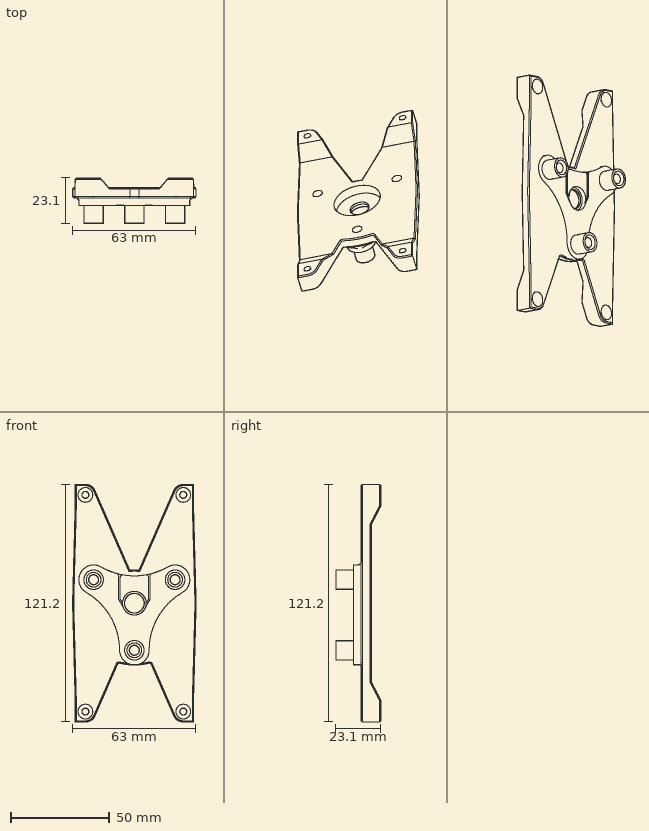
import cadquery as cq
import math


HEIGHT = 121.2
TOP_Z = HEIGHT / 2
HALF_WIDTH = 31.5
FOOT_HALF_WIDTH = 30.2
MID_FLAT = 1.0
BASE_THICKNESS = 5.2
EDGE_CHAMFER = 0.6

FOOT_THICKNESS = 10.1
FOOT_LENGTH = 10.9
RAMP_LENGTH = 9.5
FOOT_Z = TOP_Z - FOOT_LENGTH
RAMP_Z = FOOT_Z - RAMP_LENGTH
FOOT_SIDE_LENGTH = 10.5
FOOT_SIDE_Z = TOP_Z - FOOT_SIDE_LENGTH
FOOT_HOLE_X = 25.0
FOOT_HOLE_Z = 55.3
FOOT_HOLE_DIAMETER = 3.4
FOOT_BORE_DIAMETER = 7.5
FOOT_BORE_DEPTH = 7.5
ARM_END_RADIUS = TOP_Z - FOOT_HOLE_Z

NOTCH_ANGLE = math.radians(23.6)
UPPER_HUB_RADIUS = 17.0
LOWER_HUB_RADIUS = HALF_WIDTH
NOTCH_CORNER_RADIUS = 1.0

PAD_THICKNESS = 4.0
PAD_FILLET = 2.0
BOSS_CIRCLE_RADIUS = 24.0
LOBE_RADIUS = HALF_WIDTH - BOSS_CIRCLE_RADIUS
WAIST_CENTER = 2 * BOSS_CIRCLE_RADIUS
WAIST_RADIUS = BOSS_CIRCLE_RADIUS * math.sqrt(3) - LOBE_RADIUS

BOSS_ANGLES = (30, 150, 270)
BOSS_DIAMETER = 10.0
BOSS_HEIGHT = 9.0
BOSS_HOLE_DIAMETER = 5.0
COUNTERSINK_DIAMETER = 7.5

CENTER_HOLE_DIAMETER = 10.0
CENTER_BORE_DIAMETER = 12.1
CENTER_BORE_DEPTH = 2.7
BACK_RELIEF_DIAMETER = 24.2

GROOVE_INNER_X = 7.3
GROOVE_WIDTH = 0.7
GROOVE_DEPTH = 0.42
GROOVE_BEND_Z = 2.0
GROOVE_BEND_ANGLE = math.radians(30)
GROOVE_MOUTH_RADIUS = 1.5

PAD_FRONT = -PAD_THICKNESS
BOSS_FRONT = PAD_FRONT - BOSS_HEIGHT
TOTAL_DEPTH = FOOT_THICKNESS - BOSS_FRONT
MARGIN = 0.1


def polar(radius, degrees, center=(0, 0)):
    """Point at the given radius and angle around a centre in the X-Z plane."""
    angle = math.radians(degrees)
    return center[0] + radius * math.cos(angle), center[1] + radius * math.sin(angle)


AXIS = [(0, 0)]
BOSS_CENTERS = [polar(BOSS_CIRCLE_RADIUS, angle) for angle in BOSS_ANGLES]
FOOT_CENTERS = [(x, z) for x in (-FOOT_HOLE_X, FOOT_HOLE_X) for z in (-FOOT_HOLE_Z, FOOT_HOLE_Z)]


def sketch_at(y):
    """Sketch plane facing -Y at the given Y, with X and Z as its local axes."""
    return cq.Workplane("XZ", origin=(0, y, 0))


def box(half_x, y_range, z_range):
    """Selector for edges inside a box that is symmetric in X."""
    return cq.selectors.BoxSelector(
        (-half_x, y_range[0] - MARGIN, z_range[0] - MARGIN),
        (half_x, y_range[1] + MARGIN, z_range[1] + MARGIN),
    )


def drill(y, centers, diameter, depth):
    """Round cutters that start at the given Y and run toward the back."""
    return sketch_at(y).pushPoints(centers).circle(diameter / 2).extrude(-depth)


def notch(side, hub_radius):
    """Wedge between two arms, ending on a round hub; side is +1 for the top, -1 for the bottom."""
    slope = math.tan(NOTCH_ANGLE)
    flank_x = FOOT_HOLE_X - ARM_END_RADIUS / math.cos(NOTCH_ANGLE)
    apex_z = FOOT_HOLE_Z - flank_x / slope
    mouth_x = (HEIGHT - apex_z) * slope
    wedge = (
        sketch_at(FOOT_THICKNESS)
        .polyline([(0, side * apex_z), (mouth_x, side * HEIGHT), (-mouth_x, side * HEIGHT)])
        .close()
        .extrude(FOOT_THICKNESS)
    )
    return wedge.cut(sketch_at(FOOT_THICKNESS).circle(hub_radius).extrude(FOOT_THICKNESS))


def make_silhouette():
    """X-shaped outline at full foot thickness, with rounded arm ends and lower notch corners."""
    right_side = [
        (FOOT_HALF_WIDTH, -TOP_Z),
        (FOOT_HALF_WIDTH, -FOOT_SIDE_Z),
        (HALF_WIDTH, -MID_FLAT),
        (HALF_WIDTH, MID_FLAT),
        (FOOT_HALF_WIDTH, FOOT_SIDE_Z),
        (FOOT_HALF_WIDTH, TOP_Z),
    ]
    left_side = [(-x, z) for x, z in reversed(right_side)]
    body = sketch_at(FOOT_THICKNESS).polyline(right_side + left_side).close().extrude(FOOT_THICKNESS)
    body = body.cut(notch(1, UPPER_HUB_RADIUS)).cut(notch(-1, LOWER_HUB_RADIUS))

    depth_range = (0, FOOT_THICKNESS)
    arm_ends = box(FOOT_HOLE_X, depth_range, (-TOP_Z, TOP_Z))
    for end in (">Z", "<Z"):
        body = body.faces(end).edges("|Y").edges(arm_ends).fillet(ARM_END_RADIUS)
    notch_corners = box(HALF_WIDTH / 2, depth_range, (-LOWER_HUB_RADIUS, 0))
    return body.edges("|Y").edges(notch_corners).fillet(NOTCH_CORNER_RADIUS)


def make_base(silhouette):
    """Base plate with feet: the back is recessed between the feet and ramps up to them."""
    recess = (
        cq.Workplane("YZ")
        .polyline([
            (FOOT_THICKNESS, FOOT_Z),
            (BASE_THICKNESS, RAMP_Z),
            (BASE_THICKNESS, -RAMP_Z),
            (FOOT_THICKNESS, -FOOT_Z),
        ])
        .close()
        .extrude(HALF_WIDTH, both=True)
    )
    base = silhouette.cut(recess)

    def is_fold(edge):
        return any(abs(abs(edge.Center().z) - z) < MARGIN for z in (FOOT_Z, RAMP_Z))

    back = box(HEIGHT, (BASE_THICKNESS, FOOT_THICKNESS), (-HEIGHT, HEIGHT))
    rim = base.edges(back).edges("not |Y").filter(lambda edge: not is_fold(edge))
    return rim.chamfer(EDGE_CHAMFER).faces("<Y").chamfer(EDGE_CHAMFER)


def pad_outline(y):
    """Three convex lobes joined by three concave arcs, all tangent."""
    path = sketch_at(y).moveTo(*polar(LOBE_RADIUS, BOSS_ANGLES[0] - 90, BOSS_CENTERS[0]))
    for angle, center in zip(BOSS_ANGLES, BOSS_CENTERS):
        lobe_middle = polar(LOBE_RADIUS, angle, center)
        lobe_end = polar(LOBE_RADIUS, angle + 90, center)
        waist_middle = polar(WAIST_CENTER - WAIST_RADIUS, angle + 60)
        next_center = polar(BOSS_CIRCLE_RADIUS, angle + 120)
        next_lobe_start = polar(LOBE_RADIUS, angle + 30, next_center)
        path = path.threePointArc(lobe_middle, lobe_end).threePointArc(waist_middle, next_lobe_start)
    return path.close()


def make_pad(silhouette):
    """Pad with a concave fillet around its foot, trimmed to the plate outline."""
    slab = sketch_at(0).circle(TOP_Z).extrude(-BASE_THICKNESS)
    pad = slab.union(pad_outline(0).extrude(PAD_THICKNESS))
    foot_edges = box(HALF_WIDTH, (0, 0), (-HALF_WIDTH, HALF_WIDTH))
    pad = pad.edges(foot_edges).fillet(PAD_FILLET)
    return pad.intersect(silhouette.translate((0, PAD_FRONT, 0))).cut(slab)


def countersink(center):
    """45 degree cone at the mouth of a boss hole."""
    top_radius = COUNTERSINK_DIAMETER / 2
    hole_radius = BOSS_HOLE_DIAMETER / 2
    mouth = cq.Vector(center[0], BOSS_FRONT, center[1])
    return cq.Solid.makeCone(top_radius, hole_radius, top_radius - hole_radius, mouth, cq.Vector(0, 1, 0))


def groove(side):
    """Groove on one side of the pad: upright above the bend, inclined into the centre bore below it."""
    outer_x = GROOVE_INNER_X + GROOVE_WIDTH
    inner_bend_z = GROOVE_BEND_Z + GROOVE_WIDTH * math.tan(GROOVE_BEND_ANGLE / 2)
    run = CENTER_BORE_DIAMETER / 2
    dx = run * math.sin(GROOVE_BEND_ANGLE)
    dz = run * math.cos(GROOVE_BEND_ANGLE)
    points = [
        (outer_x, WAIST_CENTER),
        (outer_x, GROOVE_BEND_Z),
        (outer_x - dx, GROOVE_BEND_Z - dz),
        (GROOVE_INNER_X - dx, inner_bend_z - dz),
        (GROOVE_INNER_X, inner_bend_z),
        (GROOVE_INNER_X, WAIST_CENTER),
    ]
    mirrored = [(side * x, z) for x, z in points]
    return sketch_at(PAD_FRONT).polyline(mirrored).close().extrude(-GROOVE_DEPTH)


outline_body = make_silhouette()
result = make_base(outline_body).union(make_pad(outline_body))
bosses = sketch_at(PAD_FRONT).pushPoints(BOSS_CENTERS).circle(BOSS_DIAMETER / 2).extrude(BOSS_HEIGHT)
result = result.union(bosses)

result = result.cut(drill(BOSS_FRONT, BOSS_CENTERS, BOSS_HOLE_DIAMETER, TOTAL_DEPTH))
for boss_center in BOSS_CENTERS:
    result = result.cut(cq.Workplane(countersink(boss_center)))

result = result.cut(drill(PAD_FRONT, AXIS, CENTER_HOLE_DIAMETER, TOTAL_DEPTH))
result = result.cut(drill(PAD_FRONT, AXIS, CENTER_BORE_DIAMETER, CENTER_BORE_DEPTH))
result = result.cut(drill(0, AXIS, BACK_RELIEF_DIAMETER, FOOT_THICKNESS))

result = result.cut(drill(0, FOOT_CENTERS, FOOT_HOLE_DIAMETER, FOOT_THICKNESS))
result = result.cut(drill(0, FOOT_CENTERS, FOOT_BORE_DIAMETER, FOOT_BORE_DEPTH))

result = result.cut(groove(-1)).cut(groove(1))
waist_z = WAIST_CENTER - WAIST_RADIUS
mouth_edges = box(
    GROOVE_INNER_X + 2 * GROOVE_WIDTH,
    (PAD_FRONT, PAD_FRONT + GROOVE_DEPTH),
    (waist_z, waist_z + 2 * GROOVE_MOUTH_RADIUS),
)
result = result.edges("|Y").edges(mouth_edges).fillet(GROOVE_MOUTH_RADIUS)